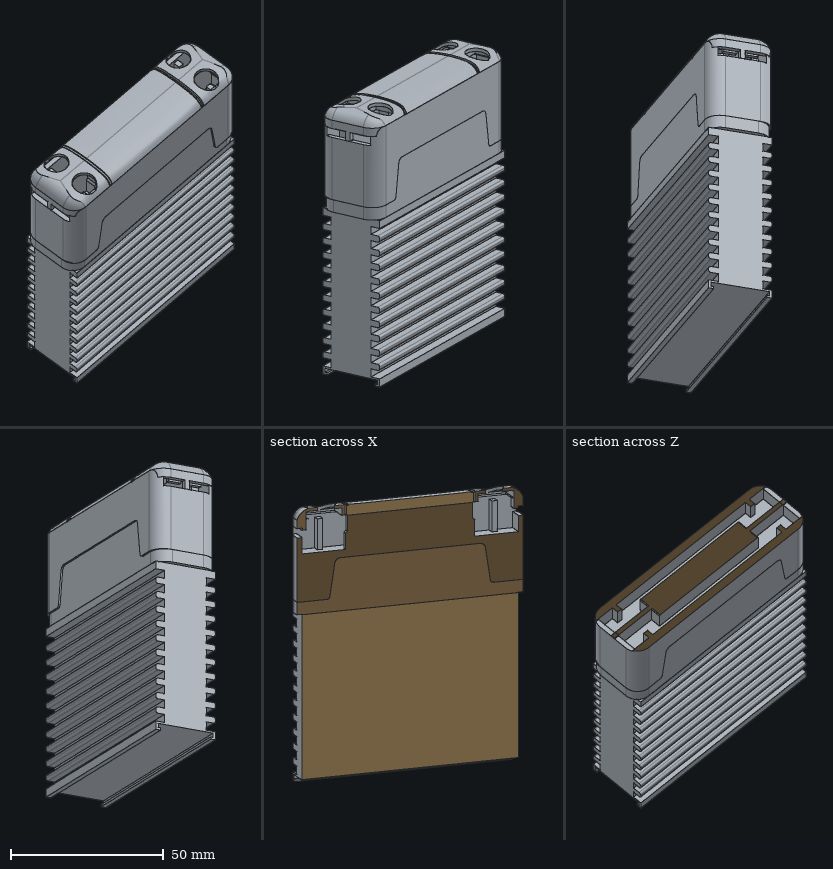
import cadquery as cq
import math

total_height = 94.4
housing_width = 22.8
housing_length = 79.25
corner_radius = 5.35
heatsink_top = 58.35
base_top = 62.7
housing_top = 90.55

heatsink_width = 22.2
heatsink_length = 76.0
heatsink_center_x = (heatsink_width - housing_width) / 2
core_width = 15.6
core_center_x = -0.2
flange_thickness = 2.7
fin_count = 10
fin_pitch = 5.0
fin_thickness = 2.2
fin_tip_radius = 0.8
lowest_fin_z = 6.8
foot_height = 2.9
foot_slot_top = 2.2
foot_wall = 0.9
foot_lip_length = 1.8
foot_lip_thickness = 0.8

tongue_top = 76.4
tongue_bottom_half_length = 28.3
tongue_top_half_length = 26.2
tongue_top_radius = 2.0
tongue_foot_radius = 1.2

side_wall = 2.95
end_wall = 1.8
pocket_floor = 79.0
window_bottom = 84.5
rib_width = 2.45
rib_thickness = 1.9
rib_center_y = 30.55
rib_top = 89.5
divider_width = 1.7
block_width = 9.1
block_length = 44.0
block_foot = 0.7

crown_points = ((3.4, 0.13), (6.75, 0.5), (8.8, 1.05), (9.85, 1.6))
crown_edge_slope = 2.6

lid_step_y = 21.6
lid_end_y = 22.3
cover_start_y = 22.7
lid_step_depth = 0.4

skirt_bottom = 87.6
skirt_corner_height = housing_top - skirt_bottom
skirt_corner_length = 2.2
cover_thickness = 1.2
screw_hole_diameter = 8.1
screw_hole_x = 6.2
screw_hole_y = 29.4
lintel_inner_x = 1.4
lintel_outer_x = 6.0
lintel_bottom = 86.9
lintel_thickness = 1.5

half_width = housing_width / 2
half_length = housing_length / 2
cavity_width = housing_width - 2 * side_wall
cavity_length = housing_length - 2 * end_wall
skirt_inner_y = half_length - end_wall


def box(x_range, y_range, z_range):
    """Axis-aligned box between the given limits."""
    size = [high - low for low, high in (x_range, y_range, z_range)]
    corner = (x_range[0], y_range[0], z_range[0])
    return cq.Workplane("XY").box(*size, centered=False).translate(corner)


def centered_box(width, length, z_range):
    """Box centred on X = 0 and Y = 0."""
    return box((-width / 2, width / 2), (-length / 2, length / 2), z_range)


def rounded_prism(width, center_x, z_range):
    """Upright prism with the rounded plan of the enclosure."""
    return (
        cq.Workplane("XY", origin=(center_x, 0, z_range[0]))
        .rect(width, housing_length)
        .extrude(z_range[1] - z_range[0])
        .edges("|Z")
        .fillet(corner_radius)
    )


def make_heatsink():
    left = heatsink_center_x - heatsink_width / 2
    right = heatsink_center_x + heatsink_width / 2
    y_range = (-heatsink_length / 2, heatsink_length / 2)
    core_x = (core_center_x - core_width / 2, core_center_x + core_width / 2)

    heatsink = box(core_x, y_range, (foot_slot_top, heatsink_top))
    heatsink = heatsink.union(box((left, right), y_range, (heatsink_top - flange_thickness, heatsink_top)))
    heatsink = heatsink.union(box((left, right), y_range, (0, foot_height)))

    slot = box((left + foot_wall, right - foot_wall), y_range, (foot_lip_thickness, foot_slot_top))
    mouth = box((left + foot_lip_length, right - foot_lip_length), y_range, (0, foot_slot_top))
    heatsink = heatsink.cut(slot).cut(mouth)

    for index in range(fin_count):
        middle_z = lowest_fin_z + index * fin_pitch
        fin = box((left, right), y_range, (middle_z - fin_thickness / 2, middle_z + fin_thickness / 2))
        heatsink = heatsink.union(fin.edges("|Y").fillet(fin_tip_radius))
    return heatsink


def make_parting_block():
    """Everything under the joint between base and housing: a slab with the tongue on top."""
    slab = centered_box(housing_width, housing_length, (heatsink_top, base_top))
    tongue = (
        cq.Workplane("YZ", origin=(-half_width, 0, 0))
        .moveTo(-tongue_bottom_half_length, base_top)
        .lineTo(-tongue_top_half_length, tongue_top)
        .lineTo(tongue_top_half_length, tongue_top)
        .lineTo(tongue_bottom_half_length, base_top)
        .close()
        .extrude(housing_width)
    )
    block = slab.union(tongue).edges("|X and >Z").fillet(tongue_top_radius)
    for side in (-1, 1):
        foot = cq.selectors.NearestToPointSelector((0, side * tongue_bottom_half_length, base_top))
        block = block.edges("|X").edges(foot).fillet(tongue_foot_radius)
    return block


def make_base():
    outline = rounded_prism(heatsink_width, heatsink_center_x, (heatsink_top, tongue_top))
    return outline.intersect(make_parting_block())


def make_middle_block():
    """Block along the middle of the housing, with a sloped foot at each end."""
    half_block = block_length / 2
    foot_end = half_block + block_foot
    return (
        cq.Workplane("YZ", origin=(-block_width / 2, 0, 0))
        .moveTo(-foot_end, pocket_floor)
        .lineTo(-foot_end, window_bottom)
        .lineTo(-half_block, window_bottom + block_foot)
        .lineTo(-half_block, housing_top)
        .lineTo(half_block, housing_top)
        .lineTo(half_block, window_bottom + block_foot)
        .lineTo(foot_end, window_bottom)
        .lineTo(foot_end, pocket_floor)
        .close()
        .extrude(block_width)
    )


def make_ribs():
    """Upright ribs on the side walls, one in each corner pocket."""
    rib_x = (cavity_width - rib_width) / 2
    return (
        cq.Workplane("XY", origin=(0, 0, pocket_floor))
        .rect(2 * rib_x, 2 * rib_center_y, forConstruction=True)
        .vertices()
        .rect(rib_width, rib_thickness)
        .extrude(rib_top - pocket_floor)
    )


def make_housing():
    housing = rounded_prism(housing_width, 0, (heatsink_top, housing_top)).cut(make_parting_block())
    housing = housing.cut(centered_box(cavity_width, cavity_length, (pocket_floor, housing_top)))
    housing = housing.cut(centered_box(cavity_width, housing_length, (window_bottom, housing_top)))
    housing = housing.union(make_middle_block()).union(make_ribs())
    divider = centered_box(divider_width, cavity_length, (pocket_floor, housing_top))
    housing = housing.union(divider)
    for side in (-1, 1):
        housing = housing.cut(make_skirt(side))
    return housing


def make_skirt(side):
    """Strip in front of the end wall, widening in a quarter ellipse up to the housing top."""
    ellipse_center_y = skirt_inner_y - skirt_corner_length
    slab = box(
        (-half_width, half_width),
        (ellipse_center_y, half_length),
        (skirt_bottom, housing_top),
    )
    wall_corner = (
        cq.Workplane("YZ", origin=(-half_width, ellipse_center_y, skirt_bottom))
        .ellipse(skirt_corner_length, skirt_corner_height)
        .extrude(housing_width)
    )
    skirt = slab.cut(wall_corner)
    return skirt if side > 0 else skirt.mirror("XZ")


def end_arc_point(distance):
    """Point on the end rounding at a distance from its level start, which is at 0."""
    height = total_height - housing_top
    radius = (corner_radius**2 + height**2) / (2 * height)
    return distance, total_height - radius + math.sqrt(radius**2 - distance**2)


def make_corner_dome():
    """Dome about the axis of a plan corner, with the profile of the rounded ends."""
    return (
        cq.Workplane("XZ")
        .moveTo(0, housing_top)
        .lineTo(0, total_height)
        .threePointArc(end_arc_point(corner_radius / 2), (corner_radius, housing_top))
        .close()
        .revolve(360, (0, 0), (0, 1))
    )


def make_rounded_end_block():
    """Level-topped block whose ends and corners are rounded down to the housing top."""
    straight_width = housing_width - 2 * corner_radius
    straight_length = housing_length - 2 * corner_radius
    block = centered_box(housing_width, straight_length, (housing_top, total_height))
    end_strip = (
        cq.Workplane("YZ", origin=(-straight_width / 2, 0, 0))
        .moveTo(0, total_height)
        .lineTo(straight_length / 2, total_height)
        .tangentArcPoint((half_length, housing_top), relative=False)
        .lineTo(0, housing_top)
        .mirrorY()
        .extrude(straight_width)
    )
    block = block.union(end_strip)
    for side_x in (-1, 1):
        for side_y in (-1, 1):
            center = (side_x * straight_width / 2, side_y * straight_length / 2, 0)
            block = block.union(make_corner_dome().translate(center))
    return block


def make_crown():
    """Crowned strip on top of the housing, rounded down at both ends."""
    cross_section = (
        cq.Workplane("XZ", origin=(0, half_length, 0))
        .moveTo(0, total_height)
        .spline(
            [(x, total_height - drop) for x, drop in crown_points] + [(half_width, housing_top)],
            tangents=[(1, 0), (1, -crown_edge_slope)],
            includeCurrent=True,
        )
        .lineTo(0, housing_top)
        .mirrorY()
        .extrude(housing_length)
    )
    return cross_section.intersect(make_rounded_end_block())


def take_length(shape, y_range):
    """The part of a shape between two Y positions."""
    return shape.intersect(box((-half_width, half_width), y_range, (skirt_bottom, total_height)))


def make_lid(crown):
    lid = take_length(crown, (-lid_step_y, lid_step_y))
    lowered_crown = crown.translate((0, 0, -lid_step_depth))
    above_housing = centered_box(housing_width, housing_length, (housing_top, total_height))
    lip = take_length(lowered_crown.intersect(above_housing), (-lid_end_y, lid_end_y))
    return lid.union(lip)


def make_cover_pocket(crown):
    """Hollow under the screw holes that leaves a thin crowned shell and a web on the divider."""
    hollow = crown.translate((0, 0, -cover_thickness))
    pocket_half_width = half_width - cover_thickness
    limits = box(
        (-pocket_half_width, pocket_half_width),
        (cover_start_y + cover_thickness, skirt_inner_y - lintel_thickness),
        (housing_top, total_height),
    )
    web = centered_box(divider_width, housing_length, (housing_top, total_height))
    return hollow.intersect(limits).cut(web)


def make_terminal_cover(crown, side):
    """Cover over one end, made at the +Y end and mirrored for the other."""
    cover = take_length(crown, (cover_start_y, half_length)).cut(make_cover_pocket(crown))
    outline = rounded_prism(housing_width, 0, (skirt_bottom, housing_top))
    cover = cover.union(make_skirt(1).intersect(outline))

    finger = box(
        (-divider_width / 2, divider_width / 2),
        (skirt_inner_y, half_length),
        (window_bottom, housing_top),
    )
    cover = cover.union(finger)
    for x_range in ((-lintel_outer_x, -lintel_inner_x), (lintel_inner_x, lintel_outer_x)):
        lintel = box(x_range, (skirt_inner_y - lintel_thickness, skirt_inner_y), (lintel_bottom, housing_top))
        cover = cover.union(lintel)

    screw_holes = (
        cq.Workplane("XY", origin=(0, 0, housing_top))
        .pushPoints([(-screw_hole_x, screw_hole_y), (screw_hole_x, screw_hole_y)])
        .circle(screw_hole_diameter / 2)
        .extrude(total_height - housing_top)
    )
    cover = cover.cut(screw_holes)
    return cover if side > 0 else cover.mirror("XZ")


heatsink = make_heatsink()
base = make_base()
housing = make_housing()
crown = make_crown()
lid = make_lid(crown)
terminal_covers = [make_terminal_cover(crown, side) for side in (-1, 1)]

result = cq.Compound.makeCompound(
    [heatsink.val(), base.val(), housing.val(), lid.val()] + [cover.val() for cover in terminal_covers]
)